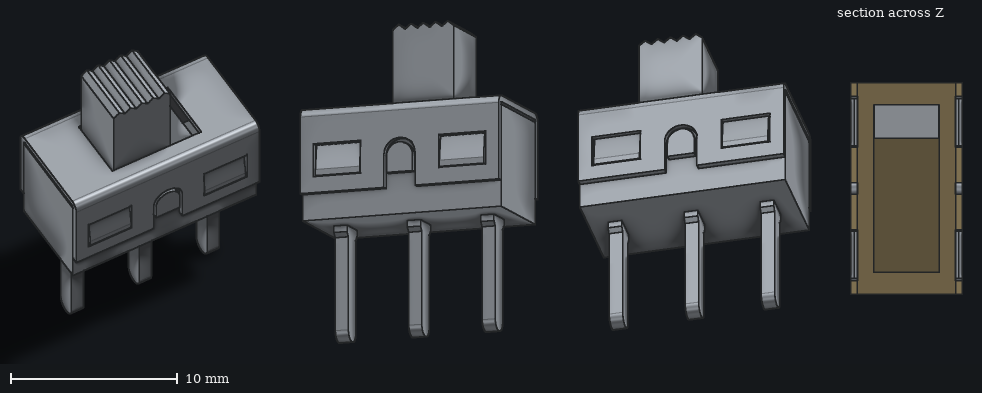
import cadquery as cq


length = 12.7
width = 6.7
total_height = 18.8

sheet = 0.4
bend_radius = 0.5
cover_top = 13.8
cover_bottom = 8.6
slot_width = 4.02
slot_length = 6.17

housing_width = width - 2 * sheet
housing_bottom = 7.0
housing_top = 13.24
pocket_width = 3.9
pocket_length = 10.04
pocket_floor = 9.98

slider_width = pocket_width
foot_length = 8.05
foot_top = 12.48
slider_center_y = -(pocket_length - foot_length) / 2
handle_length = 3.91
tooth_count = 5
tooth_height = 0.3

window_length = 3.0
window_height = 2.01
window_center_y = 4.0
window_bottom = 9.57
lug_gap = 0.05
lug_outer_gap = 0.13
lug_face_height = 0.4
lug_protrusion = sheet
lug_ramp_rise = 0.2

notch_width = 2.0
notch_top = 11.58
boss_width = 1.65
boss_top = 11.32
boss_bottom = 9.5
boss_protrusion = sheet

pin_count = 3
pin_pitch = 4.7
pin_thickness = 0.85
pin_width = 1.3
shoulder_width = 1.75
shoulder_height = 0.4
shoulder_taper = 0.28

SIDES = (-1, 1)


def block(x_size, y_size, z_low, z_high, y_center=0.0):
    """Box centred on X = 0, between two heights."""
    base = cq.Workplane("XY", origin=(0, y_center, z_low))
    return base.rect(x_size, y_size).extrude(z_high - z_low)


def arch(x_size, arch_width, z_low, z_high):
    """Round-topped prism centred on the origin that runs along X."""
    radius = arch_width / 2
    spring = z_high - radius
    return (
        cq.Workplane("YZ", origin=(-x_size / 2, 0, 0))
        .moveTo(-radius, z_low)
        .lineTo(radius, z_low)
        .lineTo(radius, spring)
        .threePointArc((0, z_high), (-radius, spring))
        .close()
        .extrude(x_size)
    )


def make_cover():
    """Folded U-shaped cover with a slider slot, latch windows and side notches."""
    cover = block(width, length, cover_bottom, cover_top)
    cover = cover.edges("|Y and >Z").fillet(bend_radius)
    inside = block(housing_width, length, cover_bottom, cover_top - sheet)
    cover = cover.cut(inside.edges("|Y and >Z").fillet(bend_radius - sheet))
    cover = cover.cut(block(slot_width, slot_length, cover_top - sheet, cover_top))
    window_top = window_bottom + window_height
    for side in SIDES:
        cover = cover.cut(block(width, window_length, window_bottom, window_top, side * window_center_y))
    return cover.cut(arch(width, notch_width, cover_bottom, notch_top))


def make_lugs(side):
    """Pair of latch lugs, one on each long wall, at the given end of the housing."""
    lug_length = window_length - lug_gap - lug_outer_gap
    lug_center_y = side * (window_center_y + (lug_gap - lug_outer_gap) / 2)
    z_low = window_bottom + lug_gap
    z_high = window_bottom + window_height - lug_gap
    half_tip = housing_width / 2 + lug_protrusion
    half_root = half_tip - lug_ramp_rise
    face_top = z_low + lug_face_height
    return (
        cq.Workplane("XZ", origin=(0, lug_center_y + lug_length / 2, 0))
        .polyline([
            (-half_tip, z_low),
            (half_tip, z_low),
            (half_tip, face_top),
            (half_root, z_high),
            (-half_root, z_high),
            (-half_tip, face_top),
        ])
        .close()
        .extrude(lug_length)
    )


def make_housing():
    """Housing block with the slider pocket, latch lugs and arched side bosses."""
    housing = block(housing_width, length, housing_bottom, housing_top)
    for side in SIDES:
        housing = housing.union(make_lugs(side))
    boss_span = housing_width + 2 * boss_protrusion
    housing = housing.union(arch(boss_span, boss_width, boss_bottom, boss_top))
    return housing.cut(block(pocket_width, pocket_length, pocket_floor, housing_top))


def make_slider():
    """Slider at the -Y end of its travel: a long foot and a handle with V-shaped grip teeth."""
    foot = block(slider_width, foot_length, pocket_floor, foot_top, slider_center_y)
    tooth_pitch = handle_length / tooth_count
    tooth_root = total_height - tooth_height
    y_start = slider_center_y - handle_length / 2
    outline = [(y_start, foot_top), (y_start, tooth_root)]
    for i in range(tooth_count):
        outline.append((y_start + (i + 0.5) * tooth_pitch, total_height))
        outline.append((y_start + (i + 1) * tooth_pitch, tooth_root))
    outline.append((y_start + handle_length, foot_top))
    handle = (
        cq.Workplane("YZ", origin=(-slider_width / 2, 0, 0))
        .polyline(outline)
        .close()
        .extrude(slider_width)
    )
    return foot.union(handle)


def make_pin(y_center):
    """Flat pin with a tapered shoulder below the housing and a round tip."""
    half_pin = pin_width / 2
    half_shoulder = shoulder_width / 2
    shoulder_bottom = housing_bottom - shoulder_height
    taper_bottom = shoulder_bottom - shoulder_taper
    return (
        cq.Workplane("XZ", origin=(0, y_center + pin_thickness / 2, 0))
        .moveTo(-half_shoulder, housing_bottom)
        .lineTo(half_shoulder, housing_bottom)
        .lineTo(half_shoulder, shoulder_bottom)
        .lineTo(half_pin, taper_bottom)
        .lineTo(half_pin, half_pin)
        .threePointArc((0, 0), (-half_pin, half_pin))
        .lineTo(-half_pin, taper_bottom)
        .lineTo(-half_shoulder, shoulder_bottom)
        .close()
        .extrude(pin_thickness)
    )


cover = make_cover()
housing = make_housing()
slider = make_slider()
pins = [make_pin((i - (pin_count - 1) / 2) * pin_pitch) for i in range(pin_count)]

result = cq.Compound.makeCompound(
    [cover.val(), housing.val(), slider.val(), *[pin.val() for pin in pins]]
)